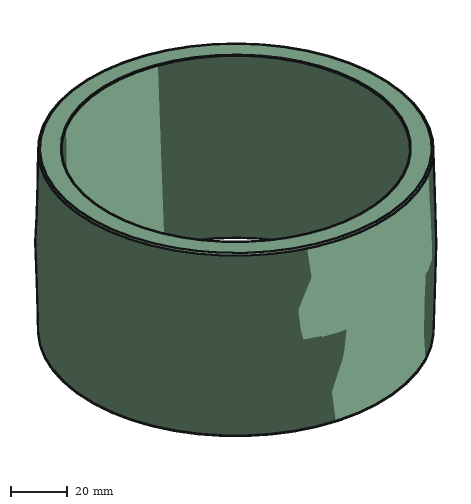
import cadquery as cq

crown_diameter = 141.2
end_diameter = 139.2
bore_diameter = 122.6
width = 76.3
band_width = 0.5
outer_chamfer = 0.7
bore_chamfer = 0.3

crown_radius = crown_diameter / 2
end_radius = end_diameter / 2
bore_radius = bore_diameter / 2
half_width = width / 2
crown_edge_height = half_width - outer_chamfer
half_band = band_width / 2

section = (
    cq.Workplane("XZ")
    .moveTo(bore_radius, -half_width + bore_chamfer)
    .lineTo(bore_radius + bore_chamfer, -half_width)
    .lineTo(end_radius - outer_chamfer, -half_width)
    .lineTo(end_radius, -crown_edge_height)
    .lineTo(crown_radius, -half_band)
    .lineTo(crown_radius, half_band)
    .lineTo(end_radius, crown_edge_height)
    .lineTo(end_radius - outer_chamfer, half_width)
    .lineTo(bore_radius + bore_chamfer, half_width)
    .lineTo(bore_radius, half_width - bore_chamfer)
    .close()
)

result = section.revolve(360, (0, 0, 0), (0, 1, 0))